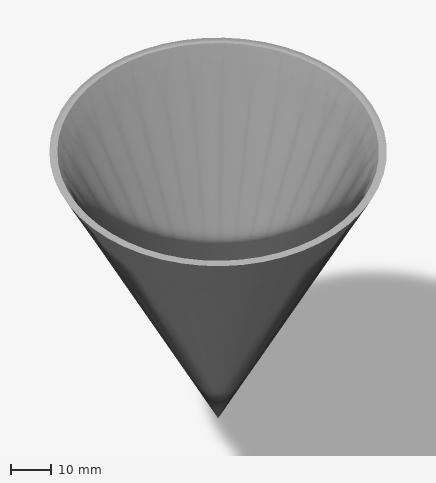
import cadquery as cq

height = 90.0
outer_diameter = 84.0
rim_width = 2.0

outer_radius = outer_diameter / 2
inner_radius = outer_radius - rim_width

cavity_depth = height * inner_radius / outer_radius
cavity_tip = height - cavity_depth

wall_section = (
    cq.Workplane("XZ")
    .moveTo(0, 0)
    .lineTo(outer_radius, height)
    .lineTo(inner_radius, height)
    .lineTo(0, cavity_tip)
    .close()
)

result = wall_section.revolve(360, (0, 0, 0), (0, 1, 0))